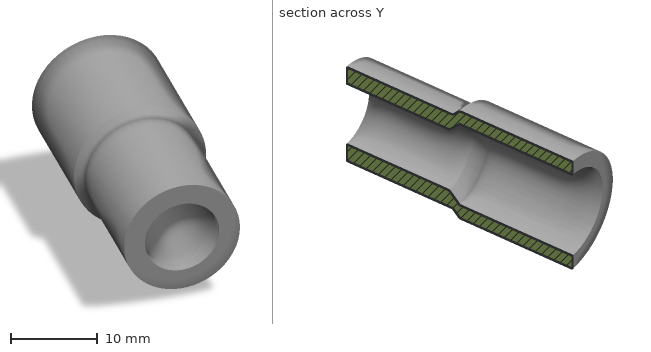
import cadquery as cq

total_length = 32.0
large_length = total_length / 2
large_radius = 16.0 / 2
small_radius = 14.0 / 2

socket_radius = 12.0 / 2
passage_radius = 9.0 / 2
socket_depth = large_length

shoulder_length = large_radius - small_radius
seat_length = socket_radius - passage_radius

wall_section = (
    cq.Workplane("XY", origin=(-total_length / 2, 0, 0))
    .moveTo(0, socket_radius)
    .lineTo(0, large_radius)
    .lineTo(large_length, large_radius)
    .lineTo(large_length + shoulder_length, small_radius)
    .lineTo(total_length, small_radius)
    .lineTo(total_length, passage_radius)
    .lineTo(socket_depth + seat_length, passage_radius)
    .lineTo(socket_depth, socket_radius)
    .close()
)

result = wall_section.revolve(360, (0, 0, 0), (1, 0, 0))